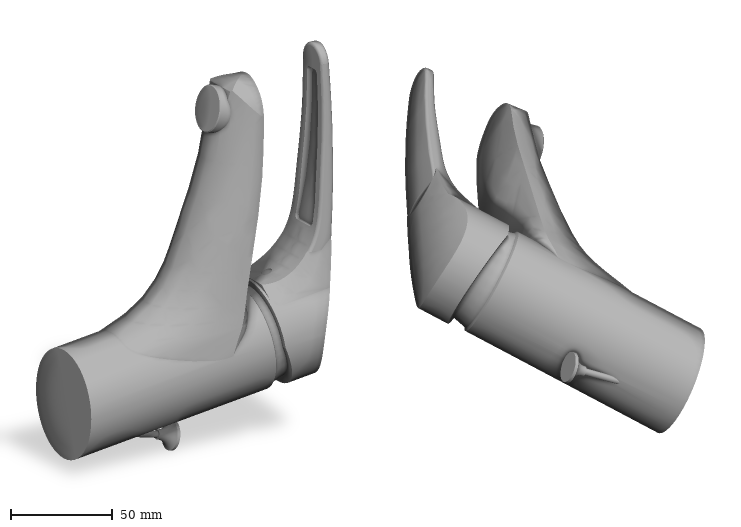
import cadquery as cq
import math

TILT = 10.0

BODY_RADIUS = 27.65
BODY_END = 105.5
NECK_BOTTOM_RADIUS = 26.2
NECK_TOP_RADIUS = 24.2
NECK_END = 115.0
NECK_STEP = 1.0
NECK_OVERLAP = 2.0

CAP_RADIUS = 28.5
CAP_FRONT = 111.2
CAP_FRONT_LOW = 117.8
CAP_STOCK_END = 165.0

BACK_PEAK_Y = 146.9
BACK_PEAK_Z = 112.0
BACK_LONG_RADIUS = 630.0
BACK_CROSS_RADIUS = 52.0

LEVER_TOP_Z = 165.1
LEVER_TIP_Z = 156.5
LEVER_TIP_X = 1.1
LEVER_TIP_HALF_WIDTH = 9.8
LEVER_ROOT_Z = 62.0
LEVER_ROOT_X = 0.5
LEVER_ROOT_HALF_WIDTH = 14.9
LEVER_BASE_Z = 30.0
LEVER_FRONT_CURVE = [(139.4, LEVER_TOP_Z), (140.0, 130), (137.6, 93), (131.3, 64), (121.3, 53.4)]
LEVER_EDGE_FILLET = 1.5
STOCK_BACK_Y = BACK_PEAK_Y + 5.0

WEDGE_FOOT_HALF_WIDTH = 21.1
WEDGE_NEAR = 112.5
WEDGE_NEAR_HEIGHT = 29.0
WEDGE_NEAR_HALF_WIDTH = 10.8
WEDGE_RISE = 0.5
WEDGE_FAR = 152.0
WEDGE_FAR_HEIGHT = 46.0
WEDGE_FAR_HALF_WIDTH = 14.0

RECESS_BOTTOM_Z = 72.5
RECESS_TOP_Z = 152.0
RECESS_BOTTOM_HALF_WIDTH = 8.6
RECESS_TOP_HALF_WIDTH = 4.8
RECESS_CORNER = 2.5
RECESS_DEPTH = 3.0

MARK_RADIUS = 2.8
MARK_Y = 114.7
MARK_Z = 50.1
MARK_SLOPE = 19.0
MARK_DEPTH = 0.5

SPOUT_SECTIONS = [
    (15.0, 5.0, 79.8, 92.0, 27.4),
    (32.0, 24.9, 85.6, 101.0, 26.5),
    (40.7, 41.6, 88.0, 97.5, 25.6),
    (51.5, 53.2, 90.0, 95.2, 24.7),
    (77.0, 66.1, 94.9, 99.7, 23.5),
    (107.0, 76.8, 100.3, 102.4, 21.3),
    (130.0, 81.8, 102.4, 103.7, 19.3),
    (143.0, 84.0, 102.8, 103.9, 18.4),
    (156.0, 86.0, 102.8, 103.9, 17.5),
]
DOME_BASE_Z = 134.6
DOME_TOP_Z = 154.9
DOME_HALF_WIDTH = 19.0
DOME_CREST_Y = 101.0
DOME_FRONT_Y = 89.0
DOME_FRONT_Z = 151.0

NOZZLE_TILT = 13.5
NOZZLE_RADIUS = 11.9
NOZZLE_FACE_Y = 81.3
NOZZLE_FACE_Z = 140.1
NOZZLE_LENGTH = 4.5
NOZZLE_CHAMFER = 0.5
NOZZLE_EMBED = 6.0
SEAT_CLEARANCE = 40.0

ROD_TILT = 11.0
ROD_RADIUS = 1.7
ROD_LENGTH = 42.0
KNOB_CENTRE_Y = 61.5
KNOB_CENTRE_Z = -26.0
KNOB_RADIUS = 7.7
KNOB_RIM = 1.6
KNOB_LENGTH = 9.0
KNOB_NECK_RADIUS = 2.5

OVERSIZE = 300.0


def tilt(shape):
    """Turn a shape built around the Y axis onto the body axis."""
    return shape.rotate((0, 0, 0), (1, 0, 0), TILT)


def along_y(radius, start, end):
    """Cylinder around the Y axis."""
    return cq.Workplane("XZ", origin=(0, start, 0)).circle(radius).extrude(start - end)


def build_body():
    base_start = -2 * BODY_RADIUS * math.sin(math.radians(TILT))
    profile = [
        (0, base_start),
        (BODY_RADIUS, base_start),
        (BODY_RADIUS, BODY_END),
        (NECK_BOTTOM_RADIUS, BODY_END + NECK_STEP),
        (NECK_TOP_RADIUS, NECK_END),
        (NECK_TOP_RADIUS, CAP_FRONT_LOW + NECK_OVERLAP),
        (0, CAP_FRONT_LOW + NECK_OVERLAP),
    ]
    body = cq.Workplane("XY").polyline(profile).close().revolve(360, (0, 0, 0), (0, 1, 0))
    behind_base = cq.Workplane("XY").box(OVERSIZE, OVERSIZE, OVERSIZE, centered=(True, False, True))
    return tilt(body).intersect(behind_base)


def build_cap():
    slanted_side = (
        cq.Workplane("YZ")
        .moveTo(CAP_FRONT, CAP_RADIUS)
        .lineTo(CAP_FRONT, 0)
        .lineTo(CAP_FRONT_LOW, -CAP_RADIUS)
        .lineTo(CAP_STOCK_END, -CAP_RADIUS)
        .lineTo(CAP_STOCK_END, CAP_RADIUS)
        .close()
        .extrude(CAP_RADIUS, both=True)
    )
    return tilt(along_y(CAP_RADIUS, CAP_FRONT, CAP_STOCK_END).intersect(slanted_side))


def build_lever():
    """The lever above its root, and the foot below it, both left thick at the back."""
    angle = math.radians(TILT)
    root_height = CAP_RADIUS + WEDGE_RISE
    root_y = CAP_FRONT * math.cos(angle) - root_height * math.sin(angle)
    root_z = CAP_FRONT * math.sin(angle) + root_height * math.cos(angle)
    side = (
        cq.Workplane("YZ")
        .moveTo(*LEVER_FRONT_CURVE[0])
        .spline(LEVER_FRONT_CURVE[1:] + [(root_y, root_z)], includeCurrent=True)
        .lineTo(root_y + (root_z - LEVER_BASE_Z) * math.tan(angle), LEVER_BASE_Z)
        .lineTo(STOCK_BACK_Y, LEVER_BASE_Z)
        .lineTo(STOCK_BACK_Y, LEVER_TOP_Z)
        .close()
        .extrude(CAP_RADIUS, both=True)
    )
    front = (
        cq.Workplane("XZ")
        .moveTo(LEVER_TIP_X - LEVER_TIP_HALF_WIDTH, LEVER_TIP_Z)
        .threePointArc((LEVER_TIP_X, LEVER_TOP_Z), (LEVER_TIP_X + LEVER_TIP_HALF_WIDTH, LEVER_TIP_Z))
        .lineTo(LEVER_ROOT_X + LEVER_ROOT_HALF_WIDTH, LEVER_ROOT_Z)
        .lineTo(LEVER_ROOT_X - LEVER_ROOT_HALF_WIDTH, LEVER_ROOT_Z)
        .close()
        .extrude(-OVERSIZE)
    )
    return side.intersect(front), side.intersect(build_root_wedge())


def build_root_wedge():
    """Widening foot that carries the lever down to the cap cylinder."""
    foot_height = math.sqrt(CAP_RADIUS**2 - WEDGE_FOOT_HALF_WIDTH**2)

    def section(distance, top_height, top_half_width):
        return (
            cq.Workplane("XZ", origin=(0, distance, 0))
            .moveTo(-WEDGE_FOOT_HALF_WIDTH, 0)
            .lineTo(WEDGE_FOOT_HALF_WIDTH, 0)
            .lineTo(WEDGE_FOOT_HALF_WIDTH, foot_height)
            .lineTo(top_half_width, top_height)
            .lineTo(-top_half_width, top_height)
            .lineTo(-WEDGE_FOOT_HALF_WIDTH, foot_height)
            .close()
            .val()
        )

    near = section(WEDGE_NEAR, WEDGE_NEAR_HEIGHT, WEDGE_NEAR_HALF_WIDTH)
    far = section(WEDGE_FAR, WEDGE_FAR_HEIGHT, WEDGE_FAR_HALF_WIDTH)
    return tilt(cq.Workplane(obj=cq.Solid.makeLoft([near, far], True)))


def build_back_limit():
    """Torus whose outer surface is the handle back."""
    pivot_y = BACK_PEAK_Y - BACK_LONG_RADIUS
    ring = cq.Solid.makeTorus(
        BACK_LONG_RADIUS - BACK_CROSS_RADIUS,
        BACK_CROSS_RADIUS,
        cq.Vector(0, pivot_y, BACK_PEAK_Z),
        cq.Vector(1, 0, 0),
    )
    return cq.Workplane(obj=ring)


def cut_recess(handle):
    floor = [(y + RECESS_DEPTH, z) for y, z in LEVER_FRONT_CURVE[:4]]
    depth = (
        cq.Workplane("YZ")
        .moveTo(*floor[0])
        .spline(floor[1:], includeCurrent=True)
        .lineTo(0, floor[-1][1])
        .lineTo(0, floor[0][1])
        .close()
        .extrude(CAP_RADIUS, both=True)
    )
    outline = (
        cq.Workplane("XZ")
        .moveTo(LEVER_TIP_X - RECESS_BOTTOM_HALF_WIDTH, RECESS_BOTTOM_Z)
        .lineTo(LEVER_TIP_X + RECESS_BOTTOM_HALF_WIDTH, RECESS_BOTTOM_Z)
        .lineTo(LEVER_TIP_X + RECESS_TOP_HALF_WIDTH, RECESS_TOP_Z)
        .lineTo(LEVER_TIP_X - RECESS_TOP_HALF_WIDTH, RECESS_TOP_Z)
        .close()
        .extrude(-OVERSIZE)
        .edges("|Y")
        .fillet(RECESS_CORNER)
    )
    return handle.cut(depth.intersect(outline))


def cut_mark(handle):
    """Shallow round mark, square to the sloping front of the lever foot."""
    slope = math.radians(MARK_SLOPE)
    plane = cq.Plane(
        origin=(0, MARK_Y, MARK_Z),
        xDir=(1, 0, 0),
        normal=(0, -math.sin(slope), math.cos(slope)),
    )
    floor = cq.Workplane(plane).workplane(offset=-MARK_DEPTH)
    cutter = floor.circle(MARK_RADIUS).extrude(2 * MARK_RADIUS)
    return handle.cut(cutter)


def build_handle():
    back_limit = build_back_limit()
    lever, foot = (stock.intersect(back_limit) for stock in build_lever())
    above_root = cq.selectors.BoxSelector(
        (-CAP_RADIUS, 0, LEVER_ROOT_Z + LEVER_EDGE_FILLET), (CAP_RADIUS, OVERSIZE, OVERSIZE)
    )
    lever = lever.edges(above_root).fillet(LEVER_EDGE_FILLET)
    cap = build_cap().intersect(back_limit)
    return cut_mark(cut_recess(cap.union(foot).union(lever)))


def spout_section(height, front_y, edge_y, back_y, half_width):
    """Half ellipse towards the front, closed by a shallow arc at the back."""
    return (
        cq.Workplane("XY", origin=(0, edge_y, height))
        .moveTo(-half_width, 0)
        .ellipseArc(half_width, edge_y - front_y, 180, 360)
        .threePointArc((0, back_y - edge_y), (-half_width, 0))
        .close()
        .val()
    )


def nozzle_plane():
    angle = math.radians(NOZZLE_TILT)
    return cq.Plane(
        origin=(0, NOZZLE_FACE_Y, NOZZLE_FACE_Z),
        xDir=(1, 0, 0),
        normal=(0, -math.cos(angle), math.sin(angle)),
    )


def build_dome_relief():
    """Stock above the dome, whose crest falls away towards the nozzle."""
    drop = DOME_TOP_Z - DOME_FRONT_Z
    run = DOME_CREST_Y - DOME_FRONT_Y
    radius = (run**2 + drop**2) / (2 * drop)
    stock = cq.Workplane("XY", origin=(0, 0, DOME_BASE_Z)).box(
        OVERSIZE, 2 * DOME_CREST_Y, OVERSIZE, centered=(True, True, False)
    )
    barrel = (
        cq.Workplane("YZ", origin=(-OVERSIZE / 2, DOME_CREST_Y, DOME_TOP_Z - radius))
        .circle(radius)
        .extrude(OVERSIZE)
    )
    return stock.cut(barrel)


def build_spout():
    wires = [spout_section(*section) for section in SPOUT_SECTIONS]
    spout = cq.Workplane(obj=cq.Solid.makeLoft(wires))
    dome = (
        cq.Workplane("XZ", origin=(0, 0, DOME_BASE_Z))
        .ellipse(DOME_HALF_WIDTH, DOME_TOP_Z - DOME_BASE_Z)
        .extrude(-OVERSIZE)
    )
    below = cq.Workplane("XY").box(OVERSIZE, OVERSIZE, DOME_BASE_Z, centered=(True, True, False))
    spout = spout.intersect(dome.union(below)).cut(build_dome_relief())
    face = nozzle_plane()
    seat = cq.Workplane(face).workplane(offset=-NOZZLE_LENGTH)
    front_stock = (
        seat.circle(NOZZLE_RADIUS)
        .extrude(SEAT_CLEARANCE)
        .union(
            seat.center(0, SEAT_CLEARANCE / 2)
            .rect(2 * SEAT_CLEARANCE, SEAT_CLEARANCE)
            .extrude(SEAT_CLEARANCE)
        )
    )
    nozzle = (
        cq.Workplane(face)
        .circle(NOZZLE_RADIUS)
        .extrude(-NOZZLE_LENGTH - NOZZLE_EMBED)
        .faces(cq.selectors.NearestToPointSelector(face.origin.toTuple()))
        .chamfer(NOZZLE_CHAMFER)
    )
    return spout.cut(front_stock).union(nozzle)


def build_pull_rod():
    angle = math.radians(ROD_TILT)
    axis_plane = cq.Plane(
        origin=(0, KNOB_CENTRE_Y, KNOB_CENTRE_Z),
        xDir=(1, 0, 0),
        normal=(0, -math.sin(angle), -math.cos(angle)),
    )
    return (
        cq.Workplane(axis_plane)
        .lineTo(KNOB_RADIUS, 0)
        .lineTo(KNOB_RADIUS, KNOB_RIM)
        .threePointArc((KNOB_RADIUS / 2, KNOB_LENGTH / 2), (KNOB_NECK_RADIUS, KNOB_LENGTH))
        .lineTo(ROD_RADIUS, KNOB_LENGTH)
        .lineTo(ROD_RADIUS, ROD_LENGTH)
        .lineTo(0, ROD_LENGTH)
        .close()
        .revolve(360, (0, 0, 0), (0, 1, 0))
    )


result = build_body().union(build_handle()).union(build_spout()).union(build_pull_rod())